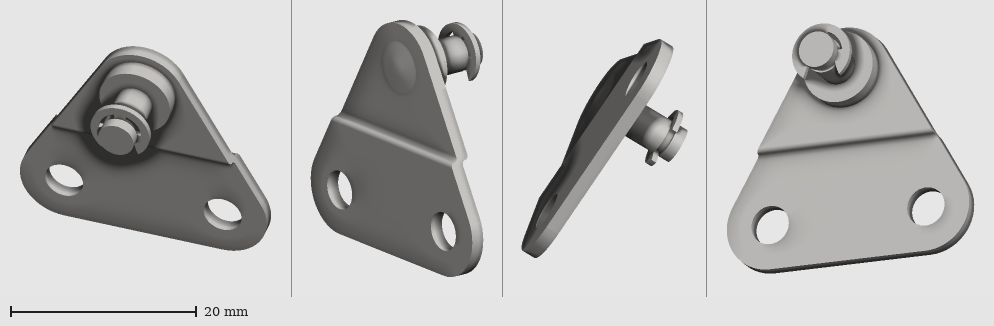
import cadquery as cq
import math

overall_width = 28.0
corner_radius = 5.0
hole_spacing = overall_width - 2 * corner_radius
hole_diameter = 4.3
apex_height = 16.0
plate_thickness = 1.5

joggle_offset = 1.0
joggle_height = 8.05
bend_radius = joggle_offset / 2
joggle_top = joggle_height + bend_radius
joggle_bottom = joggle_height - bend_radius

collar_diameter = 8.0
collar_length = 2.0
shank_diameter = 4.0
pin_length = 6.5
groove_diameter = 3.15
groove_start = 4.48
groove_width = 0.78
rivet_cone_diameter = 6.0
rivet_cone_height = 0.5

clip_radius = 3.33
clip_thickness = 0.62
window_radius = 2.45
window_start_angle = 4.0
window_end_angle = 73.0
jaw_angle = -9.0
jaw_middle = (1.75, -1.82)
jaw_tip = (2.07, -2.6)

upper_rear = -joggle_offset
upper_front = upper_rear - plate_thickness
collar_front = upper_front - collar_length
groove_rear = collar_front - groove_start
groove_radius = groove_diameter / 2


def front_plane(y, z=apex_height):
    """Sketch plane facing -Y, with local X along +X and local Y along +Z."""
    return cq.Workplane("XZ", origin=(0, y, z))


def polar(radius, degrees):
    angle = math.radians(degrees)
    return (radius * math.cos(angle), radius * math.sin(angle))


def make_plate():
    bottom = -corner_radius
    top = apex_height + corner_radius
    bend_diagonal = bend_radius * math.sqrt(0.5)
    joggle_middle = upper_rear / 2
    rear_lower_bend = (-bend_radius + bend_diagonal, joggle_bottom + bend_diagonal)
    rear_upper_bend = (-bend_radius - bend_diagonal, joggle_top - bend_diagonal)
    front_lower_bend = (rear_lower_bend[0] - plate_thickness, rear_lower_bend[1])
    front_upper_bend = (rear_upper_bend[0] - plate_thickness, rear_upper_bend[1])
    sheet = (
        cq.Workplane("YZ")
        .moveTo(0, bottom)
        .lineTo(0, joggle_bottom)
        .threePointArc(rear_lower_bend, (joggle_middle, joggle_height))
        .threePointArc(rear_upper_bend, (upper_rear, joggle_top))
        .lineTo(upper_rear, top)
        .lineTo(upper_front, top)
        .lineTo(upper_front, joggle_top)
        .threePointArc(front_upper_bend, (joggle_middle - plate_thickness, joggle_height))
        .threePointArc(front_lower_bend, (-plate_thickness, joggle_bottom))
        .lineTo(-plate_thickness, bottom)
        .close()
        .extrude(overall_width / 2, both=True)
    )

    half_spacing = hole_spacing / 2
    side_normal = math.degrees(math.atan2(half_spacing, apex_height))
    normal_x, normal_z = polar(corner_radius, side_normal)
    arc_x, arc_z = polar(corner_radius, (side_normal - 90) / 2)
    outline = (
        front_plane(0, 0)
        .moveTo(-half_spacing, bottom)
        .lineTo(half_spacing, bottom)
        .threePointArc((half_spacing + arc_x, arc_z), (half_spacing + normal_x, normal_z))
        .lineTo(normal_x, apex_height + normal_z)
        .threePointArc((0, top), (-normal_x, apex_height + normal_z))
        .lineTo(-half_spacing - normal_x, normal_z)
        .threePointArc((-half_spacing - arc_x, arc_z), (-half_spacing, bottom))
        .close()
        .extrude(-upper_front)
    )
    holes = (
        front_plane(0, 0)
        .pushPoints([(-half_spacing, 0), (half_spacing, 0)])
        .circle(hole_diameter / 2)
        .extrude(plate_thickness)
    )
    return sheet.intersect(outline).cut(holes)


def make_pin():
    collar = front_plane(upper_front).circle(collar_diameter / 2).extrude(collar_length)
    shank = front_plane(collar_front).circle(shank_diameter / 2).extrude(pin_length)
    groove = (
        front_plane(groove_rear)
        .circle(shank_diameter / 2)
        .circle(groove_radius)
        .extrude(groove_width)
    )
    return collar.union(shank.cut(groove))


def make_rivet_cone():
    cone = cq.Solid.makeCone(
        rivet_cone_diameter / 2, 0, rivet_cone_height,
        pnt=cq.Vector(0, upper_rear, apex_height), dir=cq.Vector(0, 1, 0),
    )
    return cq.Workplane(cone)


def make_bracket():
    return make_plate().union(make_pin()).union(make_rivet_cone())


def make_clip_window(start_angle, end_angle):
    """Arc-shaped window between the groove floor and the clip rim."""
    middle_angle = (start_angle + end_angle) / 2
    return (
        front_plane(groove_rear)
        .moveTo(*polar(groove_radius, start_angle))
        .lineTo(*polar(window_radius, start_angle))
        .threePointArc(polar(window_radius, middle_angle), polar(window_radius, end_angle))
        .lineTo(*polar(groove_radius, end_angle))
        .threePointArc(polar(groove_radius, middle_angle), polar(groove_radius, start_angle))
        .close()
        .extrude(clip_thickness)
    )


def make_clip():
    ring = (
        front_plane(groove_rear)
        .circle(clip_radius)
        .circle(groove_radius)
        .extrude(clip_thickness)
    )
    jaw_x, jaw_z = polar(groove_radius, jaw_angle)
    middle_x, middle_z = jaw_middle
    tip_x, tip_z = jaw_tip
    opening = (
        front_plane(groove_rear)
        .moveTo(jaw_x, jaw_z)
        .threePointArc(jaw_middle, jaw_tip)
        .lineTo(tip_x, -clip_radius)
        .lineTo(-tip_x, -clip_radius)
        .lineTo(-tip_x, tip_z)
        .threePointArc((-middle_x, middle_z), (-jaw_x, jaw_z))
        .close()
        .extrude(clip_thickness)
    )
    clip = ring.cut(opening)
    window_angles = [
        (window_start_angle, window_end_angle),
        (180 - window_end_angle, 180 - window_start_angle),
    ]
    for start_angle, end_angle in window_angles:
        clip = clip.cut(make_clip_window(start_angle, end_angle))
    return clip


bracket = make_bracket()
clip = make_clip()

result = cq.Compound.makeCompound([bracket.solids().val(), clip.solids().val()])